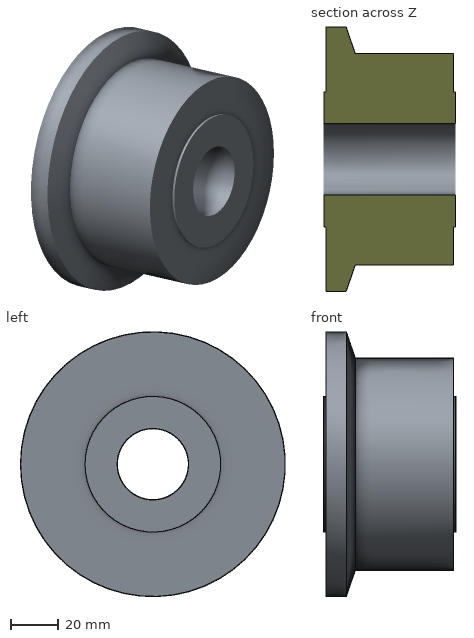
import cadquery as cq

total_width = 56.0
hub_face_height = 1.0
flange_diameter = 112.0
tread_diameter = 89.8
hub_face_diameter = 57.3
bore_diameter = 30.0
rim_width = 8.6
taper_width = 3.8

hub_start = -total_width / 2
hub_end = total_width / 2
body_start = hub_start + hub_face_height
body_end = hub_end - hub_face_height
rim_end = body_start + rim_width
taper_end = rim_end + taper_width

flange_radius = flange_diameter / 2
tread_radius = tread_diameter / 2
hub_radius = hub_face_diameter / 2
bore_radius = bore_diameter / 2

half_section = [
    (hub_start, bore_radius),
    (hub_start, hub_radius),
    (body_start, hub_radius),
    (body_start, flange_radius),
    (rim_end, flange_radius),
    (taper_end, tread_radius),
    (body_end, tread_radius),
    (body_end, hub_radius),
    (hub_end, hub_radius),
    (hub_end, bore_radius),
]

result = (
    cq.Workplane("XY")
    .polyline(half_section)
    .close()
    .revolve(360, (0, 0, 0), (1, 0, 0))
)